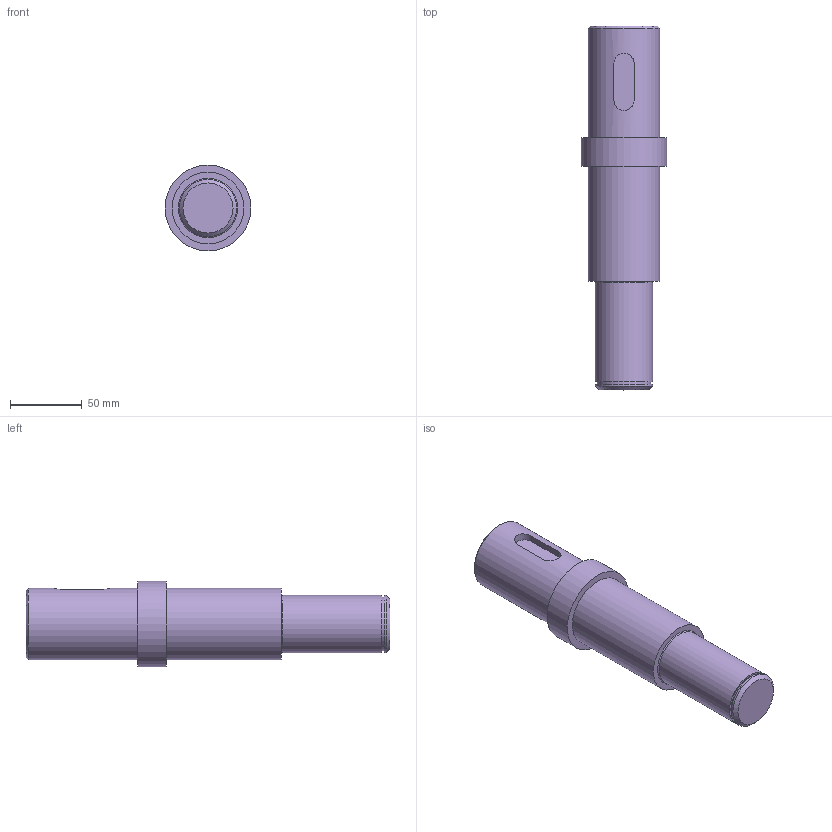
import cadquery as cq
import math

TOTAL_LENGTH = 254.0
COLLAR_DIAMETER = 60.0
SHAFT_DIAMETER = 50.0
JOURNAL_DIAMETER = 40.0
JOURNAL_LENGTH = 76.0
BEARING_SEAT_LENGTH = 80.0
COLLAR_WIDTH = 20.0

JOURNAL_CHAMFER = 2.5
SHAFT_CHAMFER = 1.5

GROOVE_DIAMETER = 37.5
GROOVE_WIDTH = 1.75
GROOVE_OFFSET = 4.0

SHOULDER_FILLET = 0.7

KEYWAY_WIDTH = 14.0
KEYWAY_LENGTH = 40.0
KEYWAY_DEPTH = 5.5
KEYWAY_END_GAP = 19.0

START_Y = -TOTAL_LENGTH / 2
END_Y = TOTAL_LENGTH / 2
SHOULDER_Y = START_Y + JOURNAL_LENGTH
COLLAR_Y = SHOULDER_Y + BEARING_SEAT_LENGTH


def cylinder(diameter, y_start, length):
    """Solid cylinder on the shaft axis, growing toward +Y."""
    base = cq.Workplane("XZ", origin=(0, y_start, 0))
    return base.circle(diameter / 2).extrude(-length)


def retaining_groove():
    """Ring of material removed from the journal for a retaining ring."""
    groove_y = START_Y + GROOVE_OFFSET
    outside = cylinder(JOURNAL_DIAMETER, groove_y, GROOVE_WIDTH)
    return outside.cut(cylinder(GROOVE_DIAMETER, groove_y, GROOVE_WIDTH))


def shoulder_fillet():
    """Concave fillet ring joining the journal to the shoulder face."""
    radius = JOURNAL_DIAMETER / 2
    bend = SHOULDER_FILLET * (1 - math.sqrt(0.5))
    profile = (
        cq.Workplane("XY")
        .moveTo(0, SHOULDER_Y - SHOULDER_FILLET)
        .lineTo(radius, SHOULDER_Y - SHOULDER_FILLET)
        .threePointArc((radius + bend, SHOULDER_Y - bend), (radius + SHOULDER_FILLET, SHOULDER_Y))
        .lineTo(0, SHOULDER_Y)
        .close()
    )
    return profile.revolve(360, (0, 0, 0), (0, 1, 0))


def shaft_body():
    """Journal, shaft and collar with both ends chamfered and the shoulder filleted."""
    journal = cylinder(JOURNAL_DIAMETER, START_Y, JOURNAL_LENGTH)
    journal = journal.faces("<Y").chamfer(JOURNAL_CHAMFER)
    shaft = cylinder(SHAFT_DIAMETER, SHOULDER_Y, END_Y - SHOULDER_Y)
    shaft = shaft.faces(">Y").chamfer(SHAFT_CHAMFER)
    collar = cylinder(COLLAR_DIAMETER, COLLAR_Y, COLLAR_WIDTH)
    return journal.union(shaft).union(collar).union(shoulder_fillet())


def keyway():
    """Round-ended pocket tool, open toward +Z."""
    center_y = END_Y - KEYWAY_END_GAP - KEYWAY_LENGTH / 2
    top_z = SHAFT_DIAMETER / 2
    plane = cq.Workplane("XY", origin=(0, center_y, top_z))
    return plane.slot2D(KEYWAY_LENGTH, KEYWAY_WIDTH, 90).extrude(-KEYWAY_DEPTH)


result = shaft_body().cut(retaining_groove()).cut(keyway())